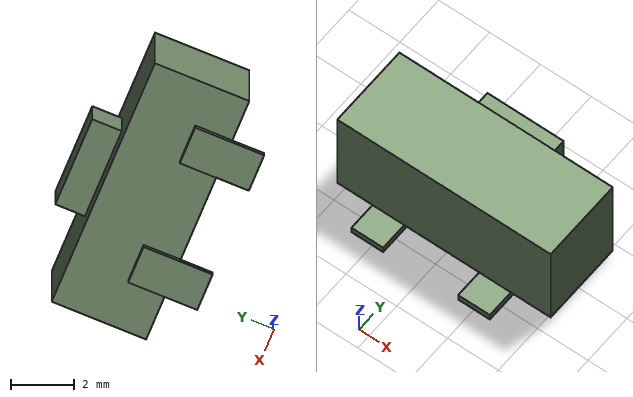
import cadquery as cq

body_length = 8.4
body_depth = 3.2
body_height = 3.5

button_width = 3.0
button_height = 1.5
button_travel = 1.0

lead_width = 1.25
lead_length = 2.34
lead_thickness = 0.25
lead_overhang = 1.08
lead_pitch = 4.2
lead_pair_offset = -0.09

front_y = -body_depth / 2
back_y = body_depth / 2
body_bottom_z = lead_thickness
body_middle_z = body_bottom_z + body_height / 2


def make_body():
    """Rectangular housing resting on the leads."""
    return (
        cq.Workplane("XY")
        .box(body_length, body_depth, body_height)
        .translate((0, 0, body_middle_z))
    )


def make_button():
    """Rectangular button standing out of the back face."""
    return (
        cq.Workplane("XY")
        .box(button_width, button_travel, button_height)
        .translate((0, back_y + button_travel / 2, body_middle_z))
    )


def make_lead(center_x):
    """Flat lead against the underside of the body."""
    center_y = front_y - lead_overhang + lead_length / 2
    return (
        cq.Workplane("XY")
        .box(lead_width, lead_length, lead_thickness)
        .translate((center_x, center_y, lead_thickness / 2))
    )


result = make_body().union(make_button())
for side in (-1, 1):
    result = result.union(make_lead(lead_pair_offset + side * lead_pitch / 2))